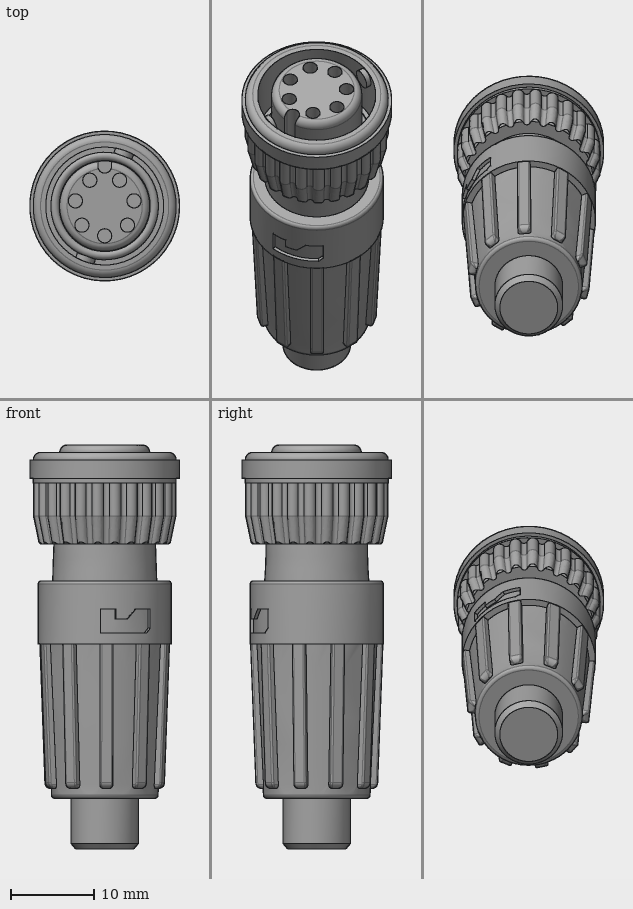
import cadquery as cq
import math

TOTAL_HEIGHT = 48.58
SHAFT_CHAMFER_HEIGHT = 0.7
GRIP_BOTTOM = 6.07
RIB_BOTTOM = 7.26
BODY_BOTTOM = 24.66
BODY_TOP = 32.25
NUT_BOTTOM = 36.66
KNURL_BREAK = 40.02
KNURL_TOP = 44.0
FLANGE_BOTTOM = 44.55
FLANGE_TOP = 46.8
NUT_TOP = 47.7
SOCKET_FLOOR = 40.0

SHAFT_RADIUS = 4.08
SHAFT_CHAMFER_WIDTH = 0.6
GRIP_BOTTOM_RADIUS = 6.4
GRIP_TOP_RADIUS = 7.25
GRIP_EDGE_ROUND = 0.45
BODY_RADIUS = 8.02
BODY_EDGE_ROUND = 0.4
NECK_BOTTOM_RADIUS = 6.27
NECK_TOP_RADIUS = 6.12

RIB_COUNT = 10
RIB_PHASE = -88.3
RIB_WIDTH = 1.55
RIB_TOP_RADIUS = 7.95
RIB_BOTTOM_RADIUS = 7.32
RIB_END_ROUND = 0.75
RIB_CORNER_ROUND = 0.5
RIB_EDGE_ROUND = 0.2
RIB_ROOT_RADIUS = 5.5

RECESS_DIRECTIONS = (-90.0, 90.0)
RECESS_DEPTH = 0.4
RECESS_BOTTOM = 26.0
RECESS_TOP = 28.85
RECESS_START = -3.65
RECESS_END = 43.0
RECESS_CORNER = 0.55
TAB_BOTTOM = 27.65
TAB_START = 9.7
TAB_SLOPE_START = 19.8
TAB_END = 27.7

FLANGE_DIAMETER = 18.03
FLANGE_RADIUS = FLANGE_DIAMETER / 2
COLLAR_RADIUS = 8.6
COLLAR_EDGE_ROUND = NUT_TOP - FLANGE_TOP
NUT_BOTTOM_RADIUS = 7.9
NUT_BOTTOM_CHAMFER = 0.2
SOCKET_RADIUS = 7.09
KNURL_COUNT = 24
KNURL_DEPTH = 0.7
KNURL_PHASE = 9.0

RIDGE_HALF_SHARE = 0.33
RIDGE_FOOT_SHARE = 0.25

PIN_DIRECTIONS = (70.0, -110.0)
PIN_RADIUS = 1.15
PIN_TIP_RADIUS = 6.4
PIN_HEIGHT = 46.45

INSERT_RADIUS = 5.42
INSERT_EDGE_ROUND = 0.9
SEAL_RADIUS = 0.5
SEAL_RING_RADIUS = 5.97
CONTACT_CIRCLE_RADIUS = 3.58
CONTACT_HOLE_RADIUS = 0.85
CONTACT_HOLE_DEPTH = 6.0
CONTACT_COUNT = 7
CONTACT_PITCH = 50.0
CONTACT_MIDDLE_DIRECTION = -90.0

KEY_RADIUS = 0.82
KEY_CENTRE = 4.78


def cylinder(radius, bottom, top):
    return cq.Workplane("XY").workplane(offset=bottom).circle(radius).extrude(top - bottom)


def cone(bottom_radius, top_radius, bottom, top):
    solid = cq.Solid.makeCone(bottom_radius, top_radius, top - bottom, cq.Vector(0, 0, bottom))
    return cq.Workplane("XY").add(solid)


def radial_plane(direction, height=0.0):
    """Plane facing outward along a direction: local x runs counterclockwise, local y is up."""
    angle = math.radians(direction)
    outward = (math.cos(angle), math.sin(angle), 0)
    around = (-math.sin(angle), math.cos(angle), 0)
    return cq.Plane(origin=(0, 0, height), xDir=around, normal=outward)


def make_shaft():
    shaft = cylinder(SHAFT_RADIUS, 0, GRIP_BOTTOM)
    return shaft.faces("<Z").chamfer(SHAFT_CHAMFER_HEIGHT, SHAFT_CHAMFER_WIDTH)


def make_rib():
    """One rib along +X, leaning inward toward its rounded lower end."""
    half_width = RIB_WIDTH / 2
    profile = (
        cq.Workplane("XZ", origin=(0, half_width, 0))
        .moveTo(RIB_ROOT_RADIUS, BODY_BOTTOM)
        .lineTo(RIB_TOP_RADIUS, BODY_BOTTOM)
        .lineTo(RIB_BOTTOM_RADIUS, RIB_BOTTOM + RIB_END_ROUND)
        .radiusArc((RIB_BOTTOM_RADIUS - RIB_END_ROUND, RIB_BOTTOM), RIB_END_ROUND)
        .lineTo(RIB_ROOT_RADIUS, RIB_BOTTOM)
        .close()
        .extrude(RIB_WIDTH)
    )
    outline = (
        cq.Workplane("YZ")
        .center(0, (RIB_BOTTOM + BODY_BOTTOM) / 2)
        .rect(RIB_WIDTH, BODY_BOTTOM - RIB_BOTTOM)
        .extrude(BODY_RADIUS)
        .edges("|X and <Z").fillet(RIB_CORNER_ROUND)
    )
    rib = profile.intersect(outline)
    return rib.faces(">X").edges("not |Y").fillet(RIB_EDGE_ROUND)


def make_grip():
    grip = cone(GRIP_BOTTOM_RADIUS, GRIP_TOP_RADIUS, GRIP_BOTTOM, BODY_BOTTOM)
    grip = grip.faces("<Z").edges().fillet(GRIP_EDGE_ROUND)
    rib = make_rib()
    for index in range(RIB_COUNT):
        turn = RIB_PHASE + index * 360 / RIB_COUNT
        grip = grip.union(rib.rotate((0, 0, 0), (0, 0, 1), turn))
    return grip


def surface_offset(angle_from_centre):
    """Offset along the body surface, seen square on, of a point at the given angle."""
    return BODY_RADIUS * math.sin(math.radians(angle_from_centre))


def make_recess(direction):
    """Shallow band sector with a tab hanging from its top and one clipped lower corner."""
    band = (
        cq.Workplane("XZ")
        .moveTo(BODY_RADIUS - RECESS_DEPTH, RECESS_BOTTOM)
        .lineTo(BODY_RADIUS + RECESS_DEPTH, RECESS_BOTTOM)
        .lineTo(BODY_RADIUS + RECESS_DEPTH, RECESS_TOP)
        .lineTo(BODY_RADIUS - RECESS_DEPTH, RECESS_TOP)
        .close()
        .revolve(RECESS_END - RECESS_START, (0, 0), (0, 1))
    )
    band = band.rotate((0, 0, 0), (0, 0, 1), direction + RECESS_START)
    reach = BODY_RADIUS + 2 * RECESS_DEPTH
    tab_middle = (TAB_START + TAB_END) / 2
    tab = (
        cq.Workplane(radial_plane(direction + tab_middle))
        .moveTo(surface_offset(TAB_START - tab_middle), RECESS_TOP)
        .lineTo(surface_offset(TAB_START - tab_middle), TAB_BOTTOM)
        .lineTo(surface_offset(TAB_SLOPE_START - tab_middle), TAB_BOTTOM)
        .lineTo(surface_offset(TAB_END - tab_middle), RECESS_TOP)
        .close()
        .extrude(reach)
    )
    corner = (
        cq.Workplane(radial_plane(direction + RECESS_END))
        .moveTo(-RECESS_CORNER, RECESS_BOTTOM)
        .lineTo(RECESS_CORNER, RECESS_BOTTOM)
        .lineTo(RECESS_CORNER, RECESS_BOTTOM + 2 * RECESS_CORNER)
        .close()
        .extrude(reach)
    )
    return band.cut(tab).cut(corner)


def make_body():
    body = cylinder(BODY_RADIUS, BODY_BOTTOM, BODY_TOP)
    body = body.faces(">Z").edges().fillet(BODY_EDGE_ROUND)
    for direction in RECESS_DIRECTIONS:
        body = body.cut(make_recess(direction))
    return body


def knurl_outline(workplane, scale):
    """Closed wave of alternating round ridges and round flutes."""
    pitch = 2 * math.pi / KNURL_COUNT
    phase = math.radians(KNURL_PHASE)
    ridge = COLLAR_RADIUS * scale
    flute = (COLLAR_RADIUS - KNURL_DEPTH) * scale

    def point(radius, steps):
        angle = phase + steps * pitch
        return (radius * math.cos(angle), radius * math.sin(angle))

    foot = flute + (ridge - flute) * RIDGE_FOOT_SHARE
    wave = workplane.moveTo(*point(foot, -RIDGE_HALF_SHARE))
    for index in range(KNURL_COUNT):
        wave = wave.threePointArc(point(ridge, index), point(foot, index + RIDGE_HALF_SHARE))
        wave = wave.threePointArc(point(flute, index + 0.5), point(foot, index + 1 - RIDGE_HALF_SHARE))
    return wave.close()


def make_knurl():
    straight = knurl_outline(cq.Workplane("XY").workplane(offset=KNURL_BREAK), 1)
    straight = straight.extrude(KNURL_TOP - KNURL_BREAK)
    bottom_scale = NUT_BOTTOM_RADIUS / COLLAR_RADIUS
    lower = knurl_outline(cq.Workplane("XY").workplane(offset=NUT_BOTTOM), bottom_scale)
    taper = knurl_outline(lower.workplane(offset=KNURL_BREAK - NUT_BOTTOM), 1).loft(ruled=True)
    trim_radius = NUT_BOTTOM_RADIUS - NUT_BOTTOM_CHAMFER
    taper_height = KNURL_BREAK - NUT_BOTTOM
    trim = cone(trim_radius, trim_radius + taper_height, NUT_BOTTOM, KNURL_BREAK)
    return straight.union(taper.intersect(trim))


def make_nut():
    collar = cylinder(COLLAR_RADIUS, KNURL_TOP, NUT_TOP)
    collar = collar.faces(">Z").edges().fillet(COLLAR_EDGE_ROUND)
    flange = cylinder(FLANGE_RADIUS, FLANGE_BOTTOM, FLANGE_TOP)
    socket = cylinder(SOCKET_RADIUS, SOCKET_FLOOR, NUT_TOP)
    nut = make_knurl().union(collar).union(flange).cut(socket)
    pin_end = (SOCKET_RADIUS + COLLAR_RADIUS) / 2
    for direction in PIN_DIRECTIONS:
        pin = (
            cq.Workplane(radial_plane(direction, PIN_HEIGHT))
            .workplane(offset=PIN_TIP_RADIUS)
            .circle(PIN_RADIUS)
            .extrude(pin_end - PIN_TIP_RADIUS)
        )
        nut = nut.union(pin)
    return nut


def make_insert():
    insert = cylinder(INSERT_RADIUS, SOCKET_FLOOR, TOTAL_HEIGHT)
    insert = insert.faces(">Z").edges().fillet(INSERT_EDGE_ROUND)
    hole_bottom = TOTAL_HEIGHT - CONTACT_HOLE_DEPTH
    first = CONTACT_MIDDLE_DIRECTION - CONTACT_PITCH * (CONTACT_COUNT - 1) / 2
    for index in range(CONTACT_COUNT):
        angle = math.radians(first + index * CONTACT_PITCH)
        x = CONTACT_CIRCLE_RADIUS * math.cos(angle)
        y = CONTACT_CIRCLE_RADIUS * math.sin(angle)
        hole = cylinder(CONTACT_HOLE_RADIUS, hole_bottom, TOTAL_HEIGHT)
        insert = insert.cut(hole.translate((x, y, 0)))
    key = cylinder(KEY_RADIUS, hole_bottom, TOTAL_HEIGHT).translate((0, KEY_CENTRE, 0))
    key_mouth = (
        cq.Workplane("XY").workplane(offset=hole_bottom)
        .center(0, KEY_CENTRE + KEY_RADIUS)
        .rect(2 * KEY_RADIUS, 2 * KEY_RADIUS)
        .extrude(CONTACT_HOLE_DEPTH)
    )
    return insert.cut(key).cut(key_mouth)


def make_seal():
    return (
        cq.Workplane("XZ")
        .center(SEAL_RING_RADIUS, SOCKET_FLOOR)
        .circle(SEAL_RADIUS)
        .revolve(360, (-SEAL_RING_RADIUS, 0), (-SEAL_RING_RADIUS, 1))
    )


neck = cone(NECK_BOTTOM_RADIUS, NECK_TOP_RADIUS, BODY_TOP, NUT_BOTTOM)

result = make_shaft()
for section in (make_grip(), make_body(), neck, make_nut(), make_insert(), make_seal()):
    result = result.union(section)